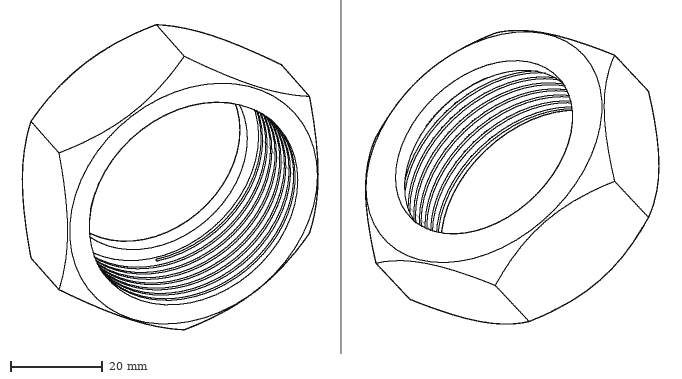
import cadquery as cq

thickness = 25.0
corner_diameter = 69.3
face_diameter = 59.3

lip_diameter = 44.5
lip_length = 4.0
thread_diameter = 49.9

thread_pitch = 2.5
groove_mouth = 0.75
groove_depth = 0.7
lead_margin = 1.1
run_out_margin = 0.6
overlap = 0.15


def hexagon_blank():
    return (
        cq.Workplane("YZ")
        .polygon(6, corner_diameter)
        .extrude(thickness)
        .rotate((0, 0, 0), (1, 0, 0), 90)
    )


def chamfer_envelope():
    """Cylinder through the corners with 45 degree chamfers on both ends."""
    chamfer = (corner_diameter - face_diameter) / 2
    cylinder = cq.Workplane("YZ").circle(corner_diameter / 2).extrude(thickness)
    return cylinder.edges("%CIRCLE").chamfer(chamfer)


def stepped_bore():
    lip = cq.Workplane("YZ").circle(lip_diameter / 2).extrude(thickness)
    threaded = (
        cq.Workplane("YZ", origin=(lip_length, 0, 0))
        .circle(thread_diameter / 2)
        .extrude(thickness - lip_length)
    )
    return lip.union(threaded)


def thread_groove():
    """V-shaped helical groove cut outward from the bore wall."""
    crest_radius = thread_diameter / 2
    inner_radius = crest_radius - overlap
    half_mouth = groove_mouth / 2 * (1 + overlap / groove_depth)
    start = lip_length + lead_margin
    helix_length = thickness - run_out_margin - start
    path = cq.Wire.makeHelix(thread_pitch, helix_length, crest_radius)
    groove = (
        cq.Workplane("XZ")
        .polyline([
            (inner_radius, -half_mouth),
            (crest_radius + groove_depth, 0),
            (inner_radius, half_mouth),
        ])
        .close()
        .sweep(cq.Workplane(obj=path), isFrenet=True)
    )
    return groove.rotate((0, 0, 0), (0, 1, 0), 90).translate((start, 0, 0))


nut = hexagon_blank().intersect(chamfer_envelope())
result = nut.cut(stepped_bore()).cut(thread_groove())